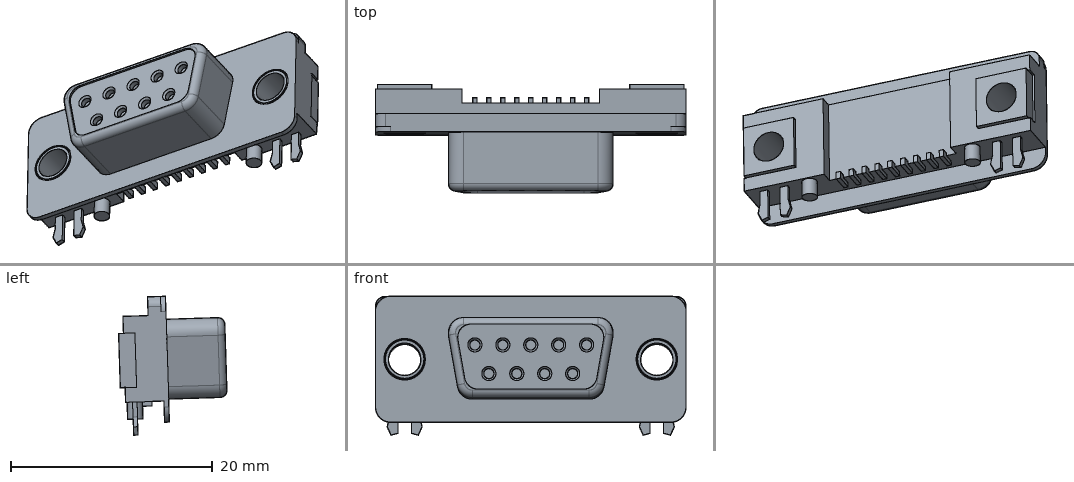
import cadquery as cq
import math


TILT_ANGLE = 1.8

PLATE_WIDTH = 30.8
PLATE_HEIGHT = 12.5
PLATE_THICKNESS = 0.5
PLATE_CORNER = 1.5
PLATE_TOP = PLATE_HEIGHT / 2
PLATE_BOTTOM = -PLATE_HEIGHT / 2

FLANGE_DEPTH = 1.3
FLANGE_CORNER = 1.0
FLANGE_BACK = PLATE_THICKNESS + FLANGE_DEPTH
BODY_DEPTH = 2.5
BODY_BACK = FLANGE_BACK + BODY_DEPTH
BODY_TOP_SETBACK = 1.86
BODY_BOTTOM_SETBACK = 2.1
BODY_TOP = PLATE_TOP - BODY_TOP_SETBACK
BODY_BOTTOM = PLATE_BOTTOM + BODY_BOTTOM_SETBACK
NOTCH_WIDTH = 13.6
NOTCH_DEPTH = 1.4
NOTCH_FLOOR = BODY_BACK - NOTCH_DEPTH

HOLE_SPACING = 25.0
HOLE_CENTRES = (-HOLE_SPACING / 2, HOLE_SPACING / 2)
BORE_DIAMETER = 3.2
EYELET_DIAMETER = 4.0
EYELET_RIM_DIAMETER = 3.8
PLATE_HOLE_DIAMETER = 4.1

NUT_SIZE = 5.4
NUT_PROJECTION = 0.48
LOCK_FRONT = BODY_BACK - 1.15
LOCK_THICKNESS = 0.45

PRONG_INNER = 0.66
PRONG_ROOT = 1.5
PRONG_WIDEST = 1.74
PRONG_TIP = 1.35
PRONG_STRAIGHT_DROP = 1.46
PRONG_WIDEST_DROP = 2.45
PRONG_INNER_DROP = 3.1
PRONG_TIP_DROP = 3.29

PEG_DIAMETER = 1.55
PEG_LENGTH = 1.7
PEG_SPACING = 17.5
PEG_BACK_OFFSET = 0.92

SHELL_DEPTH = 5.8
SHELL_TOP_WIDTH = 16.9
SHELL_HEIGHT = 7.94
SHELL_SIDE_ANGLE = 10
SHELL_CORNER = 1.5
SHELL_ROUND = 0.72

TOP_LIP = 0.67
SIDE_LIP = 0.83
OPENING_CORNER = 1.3
FACE_RECESS = 0.2

CONTACT_PITCH = 2.77
ROW_SPACING = 2.84
ROW_MIDDLE = -0.18
UPPER_CONTACTS = 5
LOWER_CONTACTS = 4
CONTACT_BORE = 1.0
CONTACT_MOUTH = 1.4
CONTACT_DEPTH = 0.75
TAIL_SIZE = 0.45
TAIL_PROJECTION = 0.77
TAIL_LENGTH = 2.0
TAIL_EMBED = 0.3


def box(x_range, y_range, z_range):
    """Axis-aligned box between the given limits."""
    size = [high - low for low, high in (x_range, y_range, z_range)]
    corner = (x_range[0], y_range[0], z_range[0])
    return cq.Workplane("XY").box(*size, centered=False).translate(corner)


def front_plane(y):
    """Plane facing -Y at the given depth, with local x and y along X and Z."""
    return cq.Workplane("XZ", origin=(0, y, 0))


def cylinder_along_y(x, z, diameter, front, back):
    return front_plane(back).center(x, z).circle(diameter / 2).extrude(back - front)


def row_positions(count, pitch):
    """Positions of equally spaced items centred on X = 0."""
    return [(i - (count - 1) / 2) * pitch for i in range(count)]


def make_plate():
    plate = front_plane(PLATE_THICKNESS).rect(PLATE_WIDTH, PLATE_HEIGHT).extrude(PLATE_THICKNESS)
    return plate.edges("|Y").fillet(PLATE_CORNER)


def make_body():
    half_width = PLATE_WIDTH / 2
    sides = (-half_width, half_width)
    flange = box(sides, (PLATE_THICKNESS, FLANGE_BACK), (BODY_BOTTOM, PLATE_TOP))
    flange = flange.edges("|Y and >Z").fillet(FLANGE_CORNER)
    block = box(sides, (FLANGE_BACK, BODY_BACK), (BODY_BOTTOM, BODY_TOP))
    notch = box(
        (-NOTCH_WIDTH / 2, NOTCH_WIDTH / 2),
        (NOTCH_FLOOR, BODY_BACK),
        (BODY_BOTTOM, BODY_TOP),
    )
    return flange.union(block).cut(notch)


def d_outline(y, inset, inset_top, corner, depth):
    """D-shaped prism running forward from y, inset from the shell outline."""
    slope = math.tan(math.radians(SHELL_SIDE_ANGLE))
    side_inset = inset / math.cos(math.radians(SHELL_SIDE_ANGLE))
    top = SHELL_HEIGHT / 2 - inset_top
    bottom = -SHELL_HEIGHT / 2 + inset
    top_half = SHELL_TOP_WIDTH / 2 - inset_top * slope - side_inset
    bottom_half = top_half - (top - bottom) * slope
    corners = [(-top_half, top), (top_half, top), (bottom_half, bottom), (-bottom_half, bottom)]
    prism = front_plane(y).polyline(corners).close().extrude(depth)
    return prism.edges("|Y").fillet(corner)


def make_shell():
    shell = d_outline(0, 0, 0, SHELL_CORNER, SHELL_DEPTH)
    shell = shell.faces("<Y").edges().fillet(SHELL_ROUND)
    recess = d_outline(
        -SHELL_DEPTH + FACE_RECESS, SIDE_LIP, TOP_LIP, OPENING_CORNER, FACE_RECESS
    )
    return shell.cut(recess)


def contact_hole(x, z):
    """Blind socket with a conical mouth in the insulator face."""
    face = -SHELL_DEPTH + FACE_RECESS
    mouth_depth = (CONTACT_MOUTH - CONTACT_BORE) / 2
    bore = cylinder_along_y(x, z, CONTACT_BORE, face, face + CONTACT_DEPTH)
    mouth = cq.Solid.makeCone(
        CONTACT_MOUTH / 2,
        CONTACT_BORE / 2,
        mouth_depth,
        pnt=cq.Vector(x, face, z),
        dir=cq.Vector(0, 1, 0),
    )
    return bore.union(cq.Workplane(mouth))


def cut_contacts(part):
    rows = (
        (UPPER_CONTACTS, ROW_MIDDLE + ROW_SPACING / 2),
        (LOWER_CONTACTS, ROW_MIDDLE - ROW_SPACING / 2),
    )
    for count, z in rows:
        for x in row_positions(count, CONTACT_PITCH):
            part = part.cut(contact_hole(x, z))
    return part


def add_tails(part):
    back = NOTCH_FLOOR + TAIL_PROJECTION
    for x in row_positions(UPPER_CONTACTS + LOWER_CONTACTS, CONTACT_PITCH / 2):
        tail = box(
            (x - TAIL_SIZE / 2, x + TAIL_SIZE / 2),
            (back - TAIL_LENGTH, back),
            (BODY_BOTTOM - TAIL_SIZE, BODY_BOTTOM + TAIL_EMBED),
        )
        part = part.union(tail)
    return part


def add_nut(part, x):
    """Open the side pocket around a mounting hole and fill it with nut and lock sheet."""
    outward = math.copysign(1, x)
    nut_sides = (x - NUT_SIZE / 2, x + NUT_SIZE / 2)
    heights = (-NUT_SIZE / 2, NUT_SIZE / 2)
    pocket_sides = sorted((x, outward * PLATE_WIDTH / 2))
    pocket = box(pocket_sides, (LOCK_FRONT, BODY_BACK), heights)
    nut = box(nut_sides, (LOCK_FRONT, BODY_BACK + NUT_PROJECTION), heights)
    return part.cut(pocket).union(nut)


def add_prongs(part, x):
    outline = [
        (PRONG_INNER, 0),
        (PRONG_ROOT, 0),
        (PRONG_ROOT, -PRONG_STRAIGHT_DROP),
        (PRONG_WIDEST, -PRONG_WIDEST_DROP),
        (PRONG_TIP, -PRONG_TIP_DROP),
        (PRONG_INNER, -PRONG_INNER_DROP),
    ]
    for side in (-1, 1):
        points = [(x + side * offset, BODY_BOTTOM + drop) for offset, drop in outline]
        prong = front_plane(LOCK_FRONT + LOCK_THICKNESS).polyline(points).close()
        part = part.union(prong.extrude(LOCK_THICKNESS))
    return part


def add_pegs(part):
    for x in (-PEG_SPACING / 2, PEG_SPACING / 2):
        foot = (x, BODY_BACK - PEG_BACK_OFFSET, BODY_BOTTOM - PEG_LENGTH)
        peg = cq.Workplane("XY", origin=foot).circle(PEG_DIAMETER / 2).extrude(PEG_LENGTH)
        part = part.union(peg)
    return part


def add_eyelet(part, x):
    """Set a chamfered eyelet flush in the plate and bore it through the part."""
    hole = cylinder_along_y(x, 0, PLATE_HOLE_DIAMETER, 0, PLATE_THICKNESS)
    rim_chamfer = (EYELET_DIAMETER - EYELET_RIM_DIAMETER) / 2
    eyelet = cylinder_along_y(x, 0, EYELET_DIAMETER, 0, PLATE_THICKNESS)
    eyelet = eyelet.faces("<Y").edges().chamfer(rim_chamfer)
    bore = cylinder_along_y(x, 0, BORE_DIAMETER, 0, BODY_BACK + NUT_PROJECTION)
    return part.cut(hole).union(eyelet).cut(bore)


def make_connector():
    part = make_plate().union(make_body()).union(make_shell())
    part = cut_contacts(part)
    part = add_tails(part)
    part = add_pegs(part)
    for x in HOLE_CENTRES:
        part = add_nut(part, x)
        part = add_prongs(part, x)
        part = add_eyelet(part, x)
    return part.rotate((0, 0, 0), (1, 0, 0), -TILT_ANGLE)


result = make_connector()